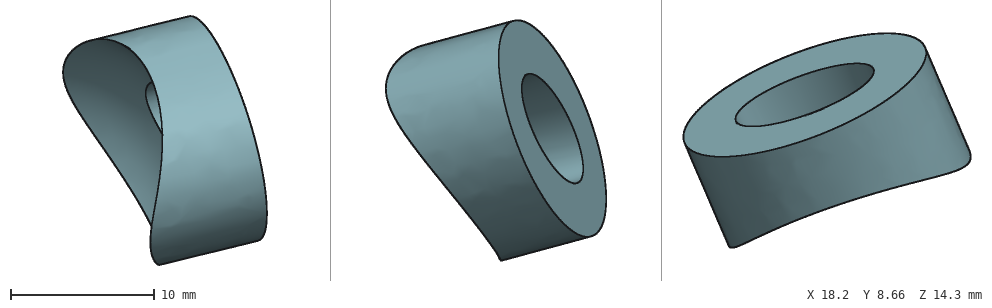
import cadquery as cq
import math

outer_width = 18.2
outer_height = 14.3
wall_thickness = 3.91
total_depth = 8.66
seat_radius = 9.75

hole_width = outer_width - 2 * wall_thickness
hole_height = outer_height - 2 * wall_thickness

tip_to_centre = math.sqrt(seat_radius**2 - (outer_width / 2) ** 2)
seat_centre_y = -total_depth - tip_to_centre


def oval_prism(width, height):
    """Elliptical prism running along -Y from the flat back to the depth of the tips."""
    return cq.Workplane("XZ").ellipse(width / 2, height / 2).extrude(total_depth)


body = oval_prism(outer_width, outer_height)
hole = oval_prism(hole_width, hole_height)
seat = cq.Workplane("XY").sphere(seat_radius).translate((0, seat_centre_y, 0))

result = body.cut(seat).cut(hole)